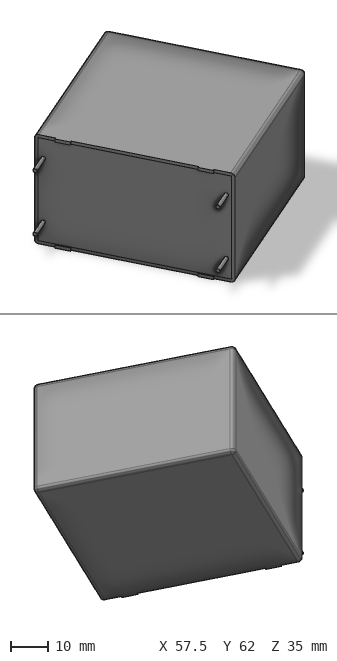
import cadquery as cq

case_width = 57.5
case_depth = 55.5
case_height = 35.0
wall = 1.0
edge_radius = 1.25

foot_width = 4.5
foot_height = 0.5
foot_inset = 6.0

pin_diameter = 1.2
pin_length_beyond_feet = 6.0
pin_inset = 2.5
pin_pitch_x = case_width - 2 * pin_inset
pin_pitch_z = 20.4
pin_length = foot_height + pin_length_beyond_feet

cavity_width = case_width - 2 * wall
cavity_depth = case_depth - wall
cavity_height = case_height - 2 * wall


def block_behind_rim(width, depth, height):
    """Box centred on the Y axis that runs from the rim plane towards +Y."""
    return cq.Workplane("XY").box(width, depth, height, centered=(True, False, True))


def make_foot(x, z):
    """One foot standing on the rim, as thick as the wall below it."""
    return (
        cq.Workplane("XY")
        .box(foot_width, foot_height, wall)
        .translate((x, -foot_height / 2, z))
    )


def make_case():
    """Cup with every outer edge rounded except those of the rim, plus four feet."""
    case = block_behind_rim(case_width, case_depth, case_height)
    case = case.edges("not(<Y)").fillet(edge_radius)
    case = case.cut(block_behind_rim(cavity_width, cavity_depth, cavity_height))
    foot_x = case_width / 2 - foot_inset - foot_width / 2
    foot_z = (case_height - wall) / 2
    for x in (-foot_x, foot_x):
        for z in (-foot_z, foot_z):
            case = case.union(make_foot(x, z))
    return case


def make_potting():
    """Potting block that fills the cavity."""
    return block_behind_rim(cavity_width, cavity_depth, cavity_height)


def make_pin(x, z):
    """Round pin that stands on the potting face and points towards -Y."""
    base = cq.Plane(origin=(x, 0, z), xDir=(0, 0, 1), normal=(0, -1, 0))
    return cq.Workplane(base).circle(pin_diameter / 2).extrude(pin_length)


case = make_case()
potting = make_potting()
pins = [
    make_pin(x, z)
    for x in (-pin_pitch_x / 2, pin_pitch_x / 2)
    for z in (-pin_pitch_z / 2, pin_pitch_z / 2)
]

result = cq.Compound.makeCompound([case.val(), potting.val(), *[pin.val() for pin in pins]])